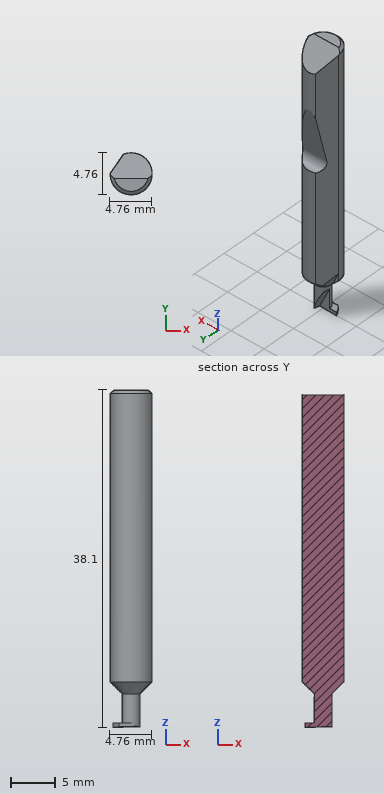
import cadquery as cq
import math


shank_radius = 4.7625 / 2
total_length = 38.1
top_chamfer = 0.4

neck_radius = 1.016
neck_length = 3.81
cone_height = shank_radius - neck_radius

slant_edge_y = -0.52

flat_normal_angle = 145
flat_distance = 1.98

notch_radius = 1.23
notch_center_z = 22.35
notch_top_z = 29.85

rake_face_y = 0.04
runout_z = 3.25
runout_slope_angle = 25
runout_turn_angle = 15

head_thickness = 0.52
head_reach = 2.06
heel_x = -1.37
heel_y = -1.016
relief_radius = 2.7
relief_angle_x = 2
relief_angle_y = 4

clearance = 5.0


def make_turned_body():
    """Shank, cone and neck as one revolved profile."""
    profile = [
        (0, 0),
        (neck_radius, 0),
        (neck_radius, neck_length),
        (shank_radius, neck_length + cone_height),
        (shank_radius, total_length - top_chamfer),
        (shank_radius - top_chamfer, total_length),
        (0, total_length),
    ]
    return cq.Workplane("XZ").polyline(profile).close().revolve(360, (0, 0), (0, 1))


def make_head():
    """Thin cutting head that reaches out to -X on the -Y side of the rake face."""
    chord_x = heel_x + head_reach
    chord_y = heel_y - rake_face_y
    chord_length = math.hypot(chord_x, chord_y)
    sagitta = relief_radius - math.sqrt(relief_radius**2 - (chord_length / 2) ** 2)
    relief_mid = (
        (heel_x - head_reach) / 2 + sagitta * chord_y / chord_length,
        (heel_y + rake_face_y) / 2 - sagitta * chord_x / chord_length,
    )
    return (
        cq.Workplane("XY")
        .moveTo(-head_reach, rake_face_y)
        .threePointArc(relief_mid, (heel_x, heel_y))
        .lineTo(0, -neck_radius)
        .lineTo(0, rake_face_y)
        .close()
        .extrude(head_thickness)
    )


def make_side_flat_cutter():
    """Box lying outside the long side flat."""
    return (
        cq.Workplane("XY")
        .box(clearance, 2 * clearance, total_length, centered=(False, True, False))
        .translate((flat_distance, 0, 0))
        .rotate((0, 0, 0), (0, 0, 1), flat_normal_angle)
    )


def make_slant_cutter():
    """Triangular prism that slants the back of the top end."""
    slant_cut_size = shank_radius - slant_edge_y + clearance
    outline = [
        (slant_edge_y, total_length),
        (shank_radius + clearance, total_length - slant_cut_size),
        (shank_radius + clearance, total_length),
    ]
    return cq.Workplane("YZ").polyline(outline).close().extrude(clearance, both=True)


def make_notch_cutter():
    """Notch with a long ramp that is tangent to its round bottom."""
    ramp_angle = math.asin(notch_radius / (notch_top_z - notch_center_z))
    ramp_end = (
        shank_radius - notch_radius * math.cos(ramp_angle),
        notch_center_z + notch_radius * math.sin(ramp_angle),
    )
    arc_mid_angle = (ramp_angle - math.pi / 2) / 2
    arc_mid = (
        shank_radius - notch_radius * math.cos(arc_mid_angle),
        notch_center_z + notch_radius * math.sin(arc_mid_angle),
    )
    notch_bottom_z = notch_center_z - notch_radius
    return (
        cq.Workplane("YZ")
        .moveTo(shank_radius, notch_top_z)
        .lineTo(*ramp_end)
        .threePointArc(arc_mid, (shank_radius, notch_bottom_z))
        .lineTo(shank_radius + clearance, notch_bottom_z)
        .lineTo(shank_radius + clearance, notch_top_z)
        .close()
        .extrude(clearance, both=True)
    )


def make_rake_cutter():
    """Region on the +Y side of the rake face and on the -X side of the sloping runout plane."""
    outward = cq.Vector(
        -1,
        math.tan(math.radians(runout_turn_angle)),
        -math.tan(math.radians(runout_slope_angle)),
    )
    runout_plane = cq.Plane(origin=(-neck_radius, 0, runout_z), xDir=(0, 1, 0), normal=outward)
    size = 4 * clearance
    outside = cq.Workplane(runout_plane).rect(size, size).extrude(size)
    beyond_rake_face = (
        cq.Workplane("XY")
        .box(size, size, 2 * size, centered=(True, False, True))
        .translate((0, rake_face_y, 0))
    )
    return outside.intersect(beyond_rake_face)


def make_bottom_relief_cutter():
    """Slab under the bottom face, which rises from the tip toward +X and toward -Y."""
    outward = cq.Vector(
        math.tan(math.radians(relief_angle_x)),
        -math.tan(math.radians(relief_angle_y)),
        -1,
    )
    relief_plane = cq.Plane(origin=(-head_reach, rake_face_y, 0), xDir=(0, 1, 0), normal=outward)
    size = 4 * clearance
    return cq.Workplane(relief_plane).rect(size, size).extrude(clearance)


result = (
    make_turned_body()
    .cut(make_side_flat_cutter())
    .cut(make_slant_cutter())
    .cut(make_notch_cutter())
    .cut(make_rake_cutter())
    .union(make_head())
    .cut(make_bottom_relief_cutter())
)